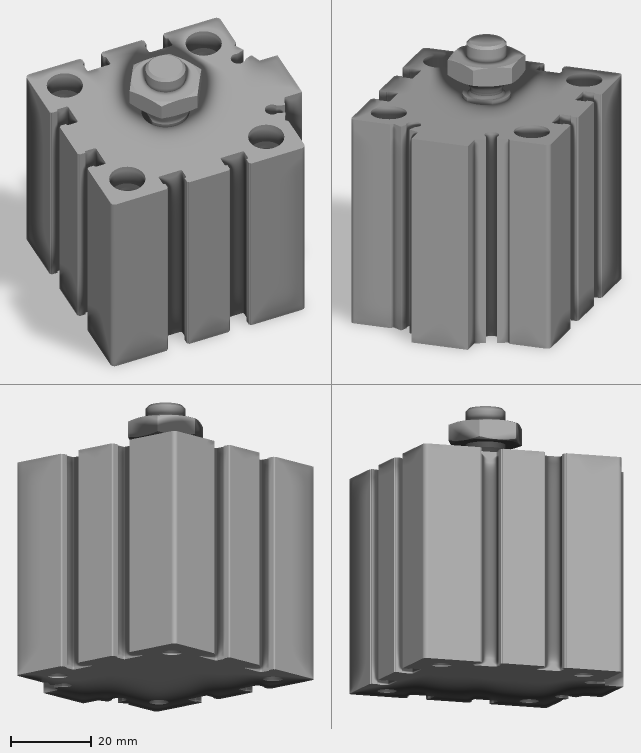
import cadquery as cq
import math

block_side = 53.0
half_side = block_side / 2
housing_height = 54.5
corner_radius = 1.1

slot_offset = 8.5
slot_mouth_width = 5.2
slot_inner_width = 6.4
slot_depth = 5.0
slot_lip_depth = 1.95
slot_edge_radius = 0.38

rail_projection = 7.5
rail_top = half_side + rail_projection
rail_half_width = 7.5
rail_foot_y = 29.1
groove_tilt = 20.0
groove_diameter = 3.7
groove_mouth_width = 2.8
groove_center = (10.35, 24.5)
groove_mouth_length = 4.85
inner_lip_tip = (10.1, 28.15)
outer_lip_tip = (12.8, 27.1)
notch_bottom = (15.2, 25.8)

hole_pitch = 38.0
hole_diameter = 4.9
hole_countersink_diameter = 6.05
counterbore_diameter = 9.05
counterbore_depth = 5.6

rod_top = 69.5
collar_diameter = 12.0
collar_flats = 10.0
collar_height = 1.0
rod_seat_depth = 13.9
flats_depth = 5.55
neck_diameter = 8.2
neck_cone_height = 0.7
neck_height = 0.55
neck_flare_height = 2.3
neck_flare_radius = 6.95
thread_diameter = 10.0
thread_chamfer = 0.7

nut_flats = 17.0
nut_height = 5.0
nut_top = 65.4
nut_chamfer_angle = 20.0


def t_slot():
    """T-slot cutter for the -Y face, centred on X = 0."""
    mouth = cq.Workplane("XY").box(
        slot_mouth_width, slot_depth, housing_height, centered=(True, False, False)
    )
    inner = (
        cq.Workplane("XY")
        .box(slot_inner_width, slot_depth - slot_lip_depth, housing_height, centered=(True, False, False))
        .edges("|Z")
        .fillet(slot_edge_radius)
        .translate((0, slot_lip_depth, 0))
    )
    flare = (
        cq.Workplane("XY")
        .moveTo(-slot_mouth_width / 2 - slot_edge_radius, 0)
        .radiusArc((-slot_mouth_width / 2, slot_edge_radius), slot_edge_radius)
        .lineTo(slot_mouth_width / 2, slot_edge_radius)
        .radiusArc((slot_mouth_width / 2 + slot_edge_radius, 0), slot_edge_radius)
        .close()
        .extrude(housing_height)
    )
    return mouth.union(inner).union(flare).translate((0, -half_side, 0))


def rail_side():
    """Half of the rail with both groove lips on its foot, from the block centre to +X."""
    return (
        cq.Workplane("XY")
        .polyline([
            (0, 0),
            (0, rail_top),
            (rail_half_width, rail_top),
            (rail_half_width, rail_foot_y),
            inner_lip_tip,
            outer_lip_tip,
            notch_bottom,
            (notch_bottom[0], 0),
        ])
        .close()
        .extrude(housing_height)
    )


def notch():
    """Notch in the +Y face that leaves a V once the rail foot fills its inner side."""
    depth = half_side - notch_bottom[1]
    return (
        cq.Workplane("XY")
        .polyline([
            notch_bottom,
            (notch_bottom[0] + depth, half_side),
            (outer_lip_tip[0], half_side),
        ])
        .close()
        .extrude(housing_height)
    )


def sensor_groove():
    """Round-bottomed groove whose narrower mouth leans outwards, on the +X side."""
    round_bottom = cq.Workplane("XY").circle(groove_diameter / 2).extrude(housing_height)
    mouth = cq.Workplane("XY").box(
        groove_mouth_width, groove_mouth_length, housing_height, centered=(True, False, False)
    )
    return (
        round_bottom.union(mouth)
        .rotate((0, 0, 0), (0, 0, 1), -groove_tilt)
        .translate((*groove_center, 0))
    )


def mounting_hole():
    """Through hole with a counterbore from the top and a countersink on its floor."""
    floor_z = housing_height - counterbore_depth
    countersink_depth = (hole_countersink_diameter - hole_diameter) / 2
    return (
        cq.Workplane("XZ")
        .polyline([
            (0, 0),
            (hole_diameter / 2, 0),
            (hole_diameter / 2, floor_z - countersink_depth),
            (hole_countersink_diameter / 2, floor_z),
            (counterbore_diameter / 2, floor_z),
            (counterbore_diameter / 2, housing_height),
            (0, housing_height),
        ])
        .close()
        .revolve(360, (0, 0), (0, 1))
    )


def rod_seat():
    """Blind bore that holds the lower end of the rod."""
    return (
        cq.Workplane("XY", origin=(0, 0, housing_height - rod_seat_depth))
        .circle(collar_diameter / 2)
        .extrude(rod_seat_depth)
    )


def make_housing():
    """Extruded block with rail, sensor grooves, T-slots, corner holes and rod seat."""
    housing = (
        cq.Workplane("XY")
        .rect(block_side, block_side)
        .extrude(housing_height)
        .edges("|Z")
        .fillet(corner_radius)
    )
    for feature in (notch(), notch().mirror("YZ")):
        housing = housing.cut(feature)
    for feature in (rail_side(), rail_side().mirror("YZ")):
        housing = housing.union(feature)
    for feature in (sensor_groove(), sensor_groove().mirror("YZ")):
        housing = housing.cut(feature)
    for face_angle in (-90, 0, 90):
        for offset in (-slot_offset, slot_offset):
            slot = t_slot().translate((offset, 0, 0)).rotate((0, 0, 0), (0, 0, 1), face_angle)
            housing = housing.cut(slot)
    for x in (-hole_pitch / 2, hole_pitch / 2):
        for y in (-hole_pitch / 2, hole_pitch / 2):
            housing = housing.cut(mounting_hole().translate((x, y, 0)))
    return housing.cut(rod_seat())


def make_rod():
    """Turned rod with two wrench flats facing -Y and +Y."""
    collar_radius = collar_diameter / 2
    neck_radius = neck_diameter / 2
    thread_radius = thread_diameter / 2
    rod_bottom = housing_height - rod_seat_depth
    collar_top = housing_height + collar_height
    neck_bottom = collar_top + neck_cone_height
    neck_top = neck_bottom + neck_height
    thread_bottom = neck_top + neck_flare_height
    profile = (
        cq.Workplane("XZ")
        .moveTo(0, rod_bottom)
        .lineTo(collar_radius, rod_bottom)
        .lineTo(collar_radius, collar_top)
        .lineTo(neck_radius + neck_cone_height, collar_top)
        .lineTo(neck_radius, neck_bottom)
        .lineTo(neck_radius, neck_top)
        .radiusArc((thread_radius, thread_bottom), neck_flare_radius)
        .lineTo(thread_radius, rod_top - thread_chamfer)
        .lineTo(thread_radius - thread_chamfer, rod_top)
        .lineTo(0, rod_top)
        .close()
    )
    rod = profile.revolve(360, (0, 0), (0, 1))
    side_cut_width = (collar_diameter - collar_flats) / 2
    side_cut = (
        cq.Workplane("XY", origin=(0, collar_flats / 2, housing_height - flats_depth))
        .box(collar_diameter, side_cut_width, flats_depth + collar_height, centered=(True, False, False))
    )
    return rod.cut(side_cut).cut(side_cut.mirror("XZ"))


def make_nut():
    """Hexagon prism with a plain bore, its corners trimmed by a chamfered disc."""
    hexagon_radius = nut_flats / math.sqrt(3)
    face_radius = nut_flats / 2
    chamfer_height = (hexagon_radius - face_radius) * math.tan(math.radians(nut_chamfer_angle))
    nut_bottom = nut_top - nut_height
    corner_turn = 30
    hexagon = (
        cq.Workplane("XY", origin=(0, 0, nut_bottom))
        .polygon(6, 2 * hexagon_radius)
        .circle(thread_diameter / 2)
        .extrude(nut_height)
        .rotate((0, 0, 0), (0, 0, 1), corner_turn)
    )
    chamfered_disc = (
        cq.Workplane("XZ")
        .polyline([
            (0, nut_bottom),
            (face_radius, nut_bottom),
            (hexagon_radius, nut_bottom + chamfer_height),
            (hexagon_radius, nut_top - chamfer_height),
            (face_radius, nut_top),
            (0, nut_top),
        ])
        .close()
        .revolve(360, (0, 0), (0, 1))
    )
    return hexagon.intersect(chamfered_disc)


housing = make_housing()
rod = make_rod()
nut = make_nut()

result = cq.Compound.makeCompound([housing.val(), rod.val(), nut.val()])